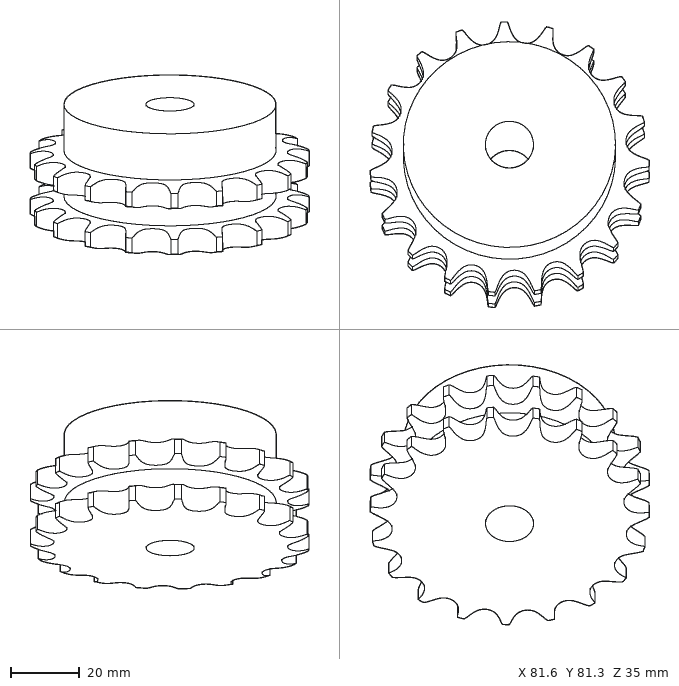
import cadquery as cq
import math


hub_diameter = 62.0
bore_diameter = 14.0
total_height = 35.0

tooth_count = 19
disc_width = 7.0
disc_pitch = 13.95
disc_count = 2
tip_radius = 40.85

pitch_diameter = 77.15
roller_diameter = 8.5
seat_radius = roller_diameter / 2
working_radius = 11.1
working_center_distance = 0.8 * roller_diameter
topping_center_distance = 1.4 * roller_diameter

seat_half_angle = math.radians(55 - 60 / tooth_count)
working_sweep = math.radians(18 - 56 / tooth_count)
straight_angle = math.radians(17 - 64 / tooth_count)
topping_sweep = math.radians(25)

side_start_radius = 35.2
side_radius = 12.7

tooth_angle = 360 / tooth_count
pitch_radius = pitch_diameter / 2
side_drop = side_radius - math.sqrt(side_radius**2 - (tip_radius - side_start_radius) ** 2)
straight_length = (
    topping_center_distance * math.sin(straight_angle)
    - working_center_distance * math.sin(working_sweep)
)
topping_radius = (
    topping_center_distance * math.cos(straight_angle)
    + working_center_distance * math.cos(working_sweep)
    - working_radius
)


def disc_blank():
    """Revolve a disc whose rim tapers on both faces along tangent arcs."""
    mid_radius = (side_start_radius + tip_radius) / 2
    mid_drop = side_radius - math.sqrt(side_radius**2 - (mid_radius - side_start_radius) ** 2)
    return (
        cq.Workplane("XZ")
        .lineTo(side_start_radius, 0)
        .threePointArc((mid_radius, mid_drop), (tip_radius, side_drop))
        .lineTo(tip_radius, disc_width - side_drop)
        .threePointArc((mid_radius, disc_width - mid_drop), (side_start_radius, disc_width))
        .lineTo(0, disc_width)
        .close()
        .revolve(360, (0, 0, 0), (0, 1, 0))
    )


def turn(point, heading, radius, sweep):
    """Middle and end of an arc from point along heading; a negative radius turns right."""

    def along(angle):
        return (
            point[0] + radius * (math.sin(heading + angle) - math.sin(heading)),
            point[1] - radius * (math.cos(heading + angle) - math.cos(heading)),
        )

    signed_sweep = math.copysign(sweep, radius)
    return along(signed_sweep / 2), along(signed_sweep)


def mirrored(point):
    """Reflect a point to the other side of the gap."""
    return (-point[0], point[1])


def gap_cutter():
    """Prism of one tooth gap, opening toward +Y."""
    root = (0, pitch_radius - seat_radius)
    seat_middle, seat_end = turn(root, 0, seat_radius, seat_half_angle)
    working_middle, working_end = turn(seat_end, seat_half_angle, working_radius, working_sweep)
    heading = seat_half_angle + working_sweep
    straight_end = (
        working_end[0] + straight_length * math.cos(heading),
        working_end[1] + straight_length * math.sin(heading),
    )
    topping_middle, topping_end = turn(straight_end, heading, -topping_radius, topping_sweep)
    return (
        cq.Workplane("XY")
        .moveTo(*root)
        .threePointArc(seat_middle, seat_end)
        .threePointArc(working_middle, working_end)
        .lineTo(*straight_end)
        .threePointArc(topping_middle, topping_end)
        .lineTo(*mirrored(topping_end))
        .threePointArc(mirrored(topping_middle), mirrored(straight_end))
        .lineTo(*mirrored(working_end))
        .threePointArc(mirrored(working_middle), mirrored(seat_end))
        .threePointArc(mirrored(seat_middle), root)
        .close()
        .extrude(disc_width)
    )


def toothed_disc():
    """Disc with one gap centred on +Y, which leaves one tooth centred on -Y."""
    disc = disc_blank()
    gap = gap_cutter()
    for index in range(tooth_count):
        disc = disc.cut(gap.rotate((0, 0, 0), (0, 0, 1), index * tooth_angle))
    return disc


sprocket = cq.Workplane("XY").circle(hub_diameter / 2).extrude(total_height)
toothed = toothed_disc()
for level in range(disc_count):
    sprocket = sprocket.union(toothed.translate((0, 0, level * disc_pitch)))

bore = cq.Workplane("XY").circle(bore_diameter / 2).extrude(total_height)
result = sprocket.cut(bore)